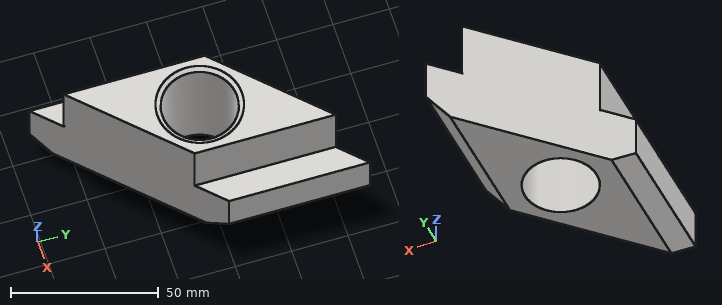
import cadquery as cq

base_width = 54.0
overall_length = 104.2
overall_height = 44.0
side_length = overall_length - base_width

neck_width = 35.4
shoulder_height = overall_height / 2
bottom_chamfer = 6.3

hole_diameter = 26.5
countersink_diameter = 30.0
countersink_depth = 1.0


def make_t_bar():
    """T-section bar along Y, with chamfered lower edges."""
    half_base = base_width / 2
    half_neck = neck_width / 2
    return (
        cq.Workplane("XZ")
        .moveTo(-half_base + bottom_chamfer, 0)
        .lineTo(half_base - bottom_chamfer, 0)
        .lineTo(half_base, bottom_chamfer)
        .lineTo(half_base, shoulder_height)
        .lineTo(half_neck, shoulder_height)
        .lineTo(half_neck, overall_height)
        .lineTo(-half_neck, overall_height)
        .lineTo(-half_neck, shoulder_height)
        .lineTo(-half_base, shoulder_height)
        .lineTo(-half_base, bottom_chamfer)
        .close()
        .extrude(overall_length / 2, both=True)
    )


def make_rhomboid():
    """Parallelogram prism that sets the slanted ends."""
    half_base = base_width / 2
    half_length = overall_length / 2
    return (
        cq.Workplane("XY")
        .polyline([
            (-half_base, -half_length),
            (half_base, half_length - side_length),
            (half_base, half_length),
            (-half_base, -half_length + side_length),
        ])
        .close()
        .extrude(overall_height)
    )


def make_countersunk_hole():
    """Vertical through hole with a shallow conical mouth at the top."""
    hole = cq.Workplane("XY").circle(hole_diameter / 2).extrude(overall_height)
    countersink = cq.Solid.makeCone(
        hole_diameter / 2,
        countersink_diameter / 2,
        countersink_depth,
        pnt=cq.Vector(0, 0, overall_height - countersink_depth),
    )
    return hole.union(cq.Workplane(countersink))


result = make_t_bar().intersect(make_rhomboid()).cut(make_countersunk_hole())